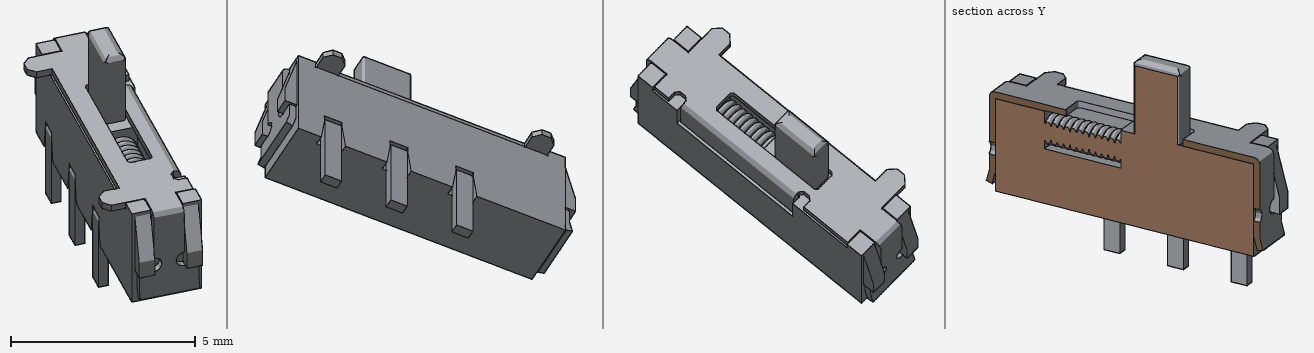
import cadquery as cq
import math


body_length = 8.13
body_width = 2.0
body_height = 3.0
half_length = body_length / 2
half_width = body_width / 2

sheet = 0.2
bend_radius = 0.2
cover_length = 7.03
cover_width = 1.89
fit_gap = 0.025
half_cover = cover_length / 2
leg_outer_x = half_length + sheet

leg_neck_width = 0.87
leg_foot_width = 1.71
leg_foot_top = -1.955
leg_bend_z = -2.4
leg_flare_angle = 15
leg_flare_length = 0.36
leg_relief_radius = 0.225

lug_width = 0.67
lug_tip_y = -1.6
lug_chamfer = 0.2

flap_left = -1.51
flap_right = 2.595
flap_outer_y = 0.91
flap_depth = 1.0
flap_side_gap = 0.05
relief_width = 0.405
relief_floor_y = 0.593
relief_chamfer = 0.1

slot_length = 3.7
slot_width = 0.7
slot_corner = 0.1
knob_center_x = -1.0
knob_length = 1.5
knob_width = 0.62
knob_height = 2.0
knob_top_round = 0.2
knob_side_round = 0.11

coil_mean_diameter = 0.7
wire_diameter = 0.2
coil_count = 12
spring_start_x = 0.12
spring_axis_z = -0.84
coil_outer_radius = (coil_mean_diameter + wire_diameter) / 2
spring_pocket_gap = 0.05

overall_length = 8.85
hook_outer_x = overall_length / 2
hook_inner_y = leg_neck_width / 2 + fit_gap
hook_outer_y = 0.91
hook_top = -0.13
hook_crest = -1.44
hook_bottom = -1.95

terminal_x = [-3.0, -1.0, 1.0]
terminal_width = 0.5
terminal_thickness = 0.28
terminal_top = -2.08
terminal_bottom = -4.5
terminal_bend = 0.22
terminal_notch_width = 0.54
terminal_notch_mouth = 0.74


def box(x0, x1, y0, y1, z0, z1):
    """Axis-aligned block between two opposite corners."""
    return cq.Workplane("XY").box(x1 - x0, y1 - y0, z1 - z0, centered=False).translate((x0, y0, z0))


def on_both_ends(shape):
    """The shape and its mirror image across the YZ plane."""
    return [shape, shape.mirror("YZ")]



def housing_block():
    """Block with four corner posts at full height and its top lowered for the cover."""
    block = box(-half_length, half_length, -half_width, half_width, -body_height, 0)
    post_x = half_cover + fit_gap
    across = box(-post_x, post_x, -half_width, half_width, -sheet, 0)
    along = box(-half_length, half_length, -hook_inner_y, hook_inner_y, -sheet, 0)
    return block.cut(across).cut(along)


def flap_recess():
    """Recess in the rear wall that receives the cover's rear flap."""
    return box(
        flap_left - flap_side_gap, flap_right + flap_side_gap,
        flap_outer_y - sheet, half_width,
        -flap_depth, 0,
    )


def hook(y_start):
    """Wedge-shaped latching hook on the +X end face."""
    return (
        cq.Workplane("XZ", origin=(0, y_start, 0))
        .moveTo(half_length, hook_top)
        .lineTo(hook_outer_x, hook_crest)
        .lineTo(hook_outer_x, hook_bottom)
        .lineTo(half_length, hook_bottom)
        .close()
        .extrude(-(hook_outer_y - hook_inner_y))
    )


def terminal_notch(x):
    """Notch in the front face around a terminal, widening towards the bottom."""
    half_top = terminal_notch_width / 2
    half_mouth = terminal_notch_mouth / 2
    taper_start = terminal_top - terminal_bend
    return (
        cq.Workplane("XZ", origin=(x, -half_width, 0))
        .moveTo(-half_top, terminal_top)
        .lineTo(half_top, terminal_top)
        .lineTo(half_top, taper_start)
        .lineTo(half_mouth, -body_height)
        .lineTo(-half_mouth, -body_height)
        .lineTo(-half_top, taper_start)
        .close()
        .extrude(-terminal_thickness)
    )


def terminal(x):
    """Flat pin in the front face, rounded where it bends into the housing."""
    pin = box(
        x - terminal_width / 2, x + terminal_width / 2,
        -half_width, -half_width + terminal_thickness,
        terminal_bottom, terminal_top,
    )
    return pin.faces(">Z").edges("<Y").fillet(terminal_bend)


def knob():
    """Actuator knob: rounded top edges that meet in mitres, and rounded upright edges."""
    height = knob_height + sheet
    base = (knob_center_x, 0, -sheet)

    def blank():
        return cq.Workplane("XY").box(knob_length, knob_width, height, centered=(True, True, False))

    rounded_ends = blank().faces(">Z").edges("|Y").fillet(knob_top_round)
    rounded_sides = blank().faces(">Z").edges("|X").fillet(knob_top_round)
    rounded_corners = blank().edges("|Z").fillet(knob_side_round)
    return rounded_ends.intersect(rounded_sides).intersect(rounded_corners).translate(base)


def spring_pocket():
    """Pocket under the slot, as long as the spring and slightly wider."""
    half_pocket = coil_outer_radius + spring_pocket_gap
    return box(
        spring_start_x, spring_start_x + coil_count * wire_diameter,
        -half_pocket, half_pocket,
        spring_axis_z - half_pocket, 0,
    )


def spring():
    """Closed-coil spring as a roll with one round rib per coil."""
    wire_radius = wire_diameter / 2
    wire_center = coil_mean_diameter / 2
    profile = cq.Workplane("XZ").lineTo(0, wire_center)
    for coil in range(coil_count):
        start = coil * wire_diameter
        profile = profile.threePointArc(
            (start + wire_radius, coil_outer_radius), (start + wire_diameter, wire_center)
        )
    roll = profile.lineTo(coil_count * wire_diameter, 0).close().revolve(360, (0, 0, 0), (1, 0, 0))
    return roll.translate((spring_start_x, 0, spring_axis_z))


def make_housing():
    housing = housing_block().cut(flap_recess()).cut(spring_pocket())
    for x in terminal_x:
        housing = housing.cut(terminal_notch(x)).union(terminal(x))
    for y_start in (hook_inner_y, -hook_outer_y):
        for end_hook in on_both_ends(hook(y_start)):
            housing = housing.union(end_hook)
    return housing.union(knob()).union(spring())



def end_leg():
    """Leg bent down over the +X end: narrow neck, relief circles, wide flared foot."""
    flare = math.radians(leg_flare_angle)
    flare_dx = leg_flare_length * math.sin(flare)
    flare_dz = leg_flare_length * math.cos(flare)
    tip_x = leg_outer_x + flare_dx
    tip_z = leg_bend_z - flare_dz
    inner_bend_z = leg_bend_z - sheet * math.tan(flare / 2)
    corner_x = leg_outer_x - bend_radius
    mid_arc = bend_radius * math.sin(math.radians(45))
    strip = (
        cq.Workplane("XZ", origin=(0, leg_foot_width / 2, 0))
        .moveTo(half_cover, -sheet)
        .lineTo(half_cover, 0)
        .lineTo(corner_x, 0)
        .threePointArc((corner_x + mid_arc, mid_arc - bend_radius), (leg_outer_x, -bend_radius))
        .lineTo(leg_outer_x, leg_bend_z)
        .lineTo(tip_x, tip_z)
        .lineTo(tip_x - sheet * math.cos(flare), tip_z - sheet * math.sin(flare))
        .lineTo(half_length, inner_bend_z)
        .lineTo(half_length, -sheet)
        .close()
        .extrude(leg_foot_width)
    )
    for side in (-1, 1):
        neck_y = side * leg_neck_width / 2
        foot_y = side * leg_foot_width / 2
        strip = strip.cut(
            box(half_cover, tip_x, min(neck_y, foot_y), max(neck_y, foot_y), leg_foot_top, 0)
        )
        relief = (
            cq.Workplane("YZ", origin=(half_cover, 0, 0))
            .center(neck_y, leg_foot_top + leg_relief_radius)
            .circle(leg_relief_radius)
            .extrude(tip_x - half_cover)
        )
        strip = strip.cut(relief)
    return strip


def front_lug():
    """Lug that overhangs the front face at the +X end of the cover plate."""
    lug = box(half_cover - lug_width, half_cover, lug_tip_y, 0, -sheet, 0)
    return lug.faces("<Y").edges("|Z").chamfer(lug_chamfer)


def rear_relief(x_start):
    """Bend-relief notch in the rear edge of the plate, with chamfered inner corners."""
    notch = box(x_start, x_start + relief_width, relief_floor_y, half_width, -sheet, 0)
    return notch.faces("<Y").edges("|Z").chamfer(relief_chamfer)


def rear_flap():
    """Flap bent down behind the plate."""
    flap = box(flap_left, flap_right, relief_floor_y, flap_outer_y, -sheet, 0).union(
        box(flap_left, flap_right, flap_outer_y - sheet, flap_outer_y, -flap_depth, 0)
    )
    return flap.faces(">Z").edges(">Y").fillet(bend_radius)


def actuator_slot():
    """Slot through the plate for the knob's travel."""
    return (
        cq.Workplane("XY", origin=(0, 0, -sheet))
        .rect(slot_length, slot_width)
        .extrude(sheet)
        .edges("|Z")
        .fillet(slot_corner)
    )


def make_cover():
    half_cover_width = cover_width / 2
    plate = box(-half_cover, half_cover, -half_cover_width, half_cover_width, -sheet, 0)
    plate = plate.cut(box(flap_left, flap_right, relief_floor_y, half_width, -sheet, 0))
    for x_start in (flap_left - relief_width, flap_right):
        plate = plate.cut(rear_relief(x_start))
    plate = plate.union(rear_flap())
    for feature in on_both_ends(front_lug()) + on_both_ends(end_leg()):
        plate = plate.union(feature)
    return plate.cut(actuator_slot())


housing = make_housing()
cover = make_cover()
result = cq.Compound.makeCompound([housing.solids().val(), cover.solids().val()])